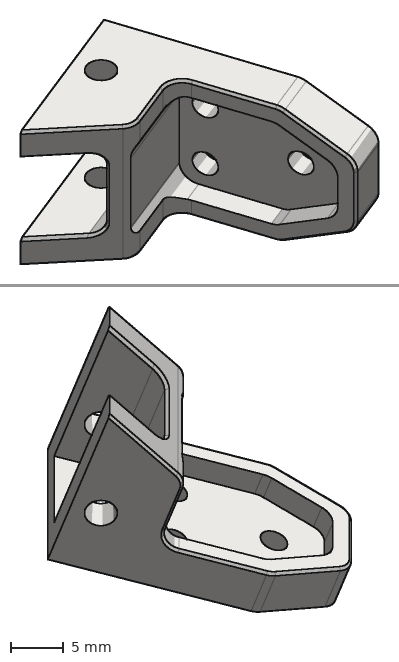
import cadquery as cq
import math

length = 28.75
depth = 18.7
height = 16.4

plate_thickness = 4.97
leg_width = 9.43
corner_radius = 2.0
slope_angle = math.radians(30)
edge_chamfer = 0.3

taper_start = 20.73
tip_half_height = 4.23

wall = 1.95
pocket_depth = 2.5
pocket_left = 9.03
pocket_radius = 2.0

cavity_length = 6.95
cavity_height = 9.83
cavity_floor = 1.95
cavity_radius = 1.5
mouth_bevel = 0.25

screw_diameter = 2.7
screw_pair_x = 11.75
screw_pair_spacing = 7.02
screw_tip_x = 21.75
pin_diameter = 3.1
pin_x = 3.0
pin_y = -7.02

overrun = 0.58


def tapered_outline(left, right, half_height, shoulder, tip_half):
    """Rectangle with a tapered right end, on the XZ plane and extruding toward -Y."""
    return cq.Workplane("XZ").polyline([
        (left, -half_height),
        (shoulder, -half_height),
        (right, -tip_half),
        (right, tip_half),
        (shoulder, half_height),
        (left, half_height),
    ]).close()


def make_body():
    slope_end_y = -depth + leg_width * math.tan(slope_angle)
    profile = (
        cq.Workplane("XY")
        .polyline([
            (0, 0),
            (length, 0),
            (length, -plate_thickness),
            (leg_width, -plate_thickness),
            (leg_width, slope_end_y),
            (0, -depth),
        ])
        .close()
        .extrude(height / 2, both=True)
    )
    for corner_y in (-plate_thickness, slope_end_y):
        corner = cq.selectors.NearestToPointSelector((leg_width, corner_y, 0))
        profile = profile.edges("|Z").edges(corner).fillet(corner_radius)

    outline = tapered_outline(0, length, height / 2, taper_start, tip_half_height).extrude(depth)
    outline = outline.edges("|Y and (not <X)").fillet(corner_radius)
    body = profile.intersect(outline)

    rim_x = (leg_width + taper_start) / 2
    rim = cq.selectors.NearestToPointSelector((rim_x, -plate_thickness, height / 2))
    return body.edges(rim).chamfer(edge_chamfer)


def make_pocket():
    taper_angle = math.atan2(height / 2 - tip_half_height, length - taper_start)
    shoulder = taper_start - wall * math.tan(taper_angle / 2)
    tip_half = tip_half_height - wall * math.tan((math.pi / 2 - taper_angle) / 2)
    pocket = tapered_outline(
        pocket_left, length - wall, height / 2 - wall, shoulder, tip_half
    ).extrude(depth)
    pocket = pocket.edges("|Y").fillet(pocket_radius)
    return pocket.translate((0, pocket_depth - plate_thickness, 0))


def make_cavity():
    cavity = cq.Workplane("XY").box(
        cavity_length + overrun, depth, cavity_height, centered=(False, False, True)
    )
    cavity = cavity.edges("|Y and >X").fillet(cavity_radius)
    return cavity.translate((-overrun, -depth - cavity_floor, 0))


def mouth_section(sketch, grow_x, grow_z):
    """Cavity cross-section along the slope, enlarged by the given X and Z amounts."""
    along_slope = 1 / math.cos(slope_angle)
    radius_u = (cavity_radius + grow_x) * along_slope
    radius_z = cavity_radius + grow_z
    start = -overrun * along_slope
    straight_end = (cavity_length - cavity_radius) * along_slope
    half = cavity_height / 2 + grow_z
    return (
        sketch.moveTo(start, -half)
        .lineTo(straight_end, -half)
        .ellipseArc(radius_u, radius_z, 270, 360, startAtCurrent=True)
        .lineTo(straight_end + radius_u, half - radius_z)
        .ellipseArc(radius_u, radius_z, 0, 90, startAtCurrent=True)
        .lineTo(start, half)
        .close()
    )


def make_mouth_chamfer():
    """Bevel around the cavity mouth; it is wider at the acute end edge than along the sides."""
    setback = mouth_bevel / math.tan((math.pi / 2 - slope_angle) / 2)
    bevel_x = setback * math.cos(slope_angle)
    slope_plane = cq.Plane(
        origin=(0, -depth, 0),
        xDir=(math.cos(slope_angle), math.sin(slope_angle), 0),
        normal=(math.sin(slope_angle), -math.cos(slope_angle), 0),
    )
    inner_plane = cq.Plane(
        origin=(0, -depth + setback, 0), xDir=slope_plane.xDir, normal=slope_plane.zDir
    )
    outer = mouth_section(cq.Workplane(slope_plane), bevel_x, mouth_bevel).wires().val()
    inner = mouth_section(cq.Workplane(inner_plane), 0, 0).wires().val()
    return cq.Workplane(cq.Solid.makeLoft([inner, outer], True))


def make_holes():
    screws = (
        cq.Workplane("XZ")
        .pushPoints([
            (screw_pair_x, screw_pair_spacing / 2),
            (screw_pair_x, -screw_pair_spacing / 2),
            (screw_tip_x, 0),
        ])
        .circle(screw_diameter / 2)
        .extrude(plate_thickness)
    )
    pin = cq.Workplane("XY").center(pin_x, pin_y).circle(pin_diameter / 2).extrude(height, both=True)
    return screws.union(pin)


result = (
    make_body()
    .cut(make_pocket())
    .cut(make_cavity())
    .cut(make_mouth_chamfer())
    .cut(make_holes())
)